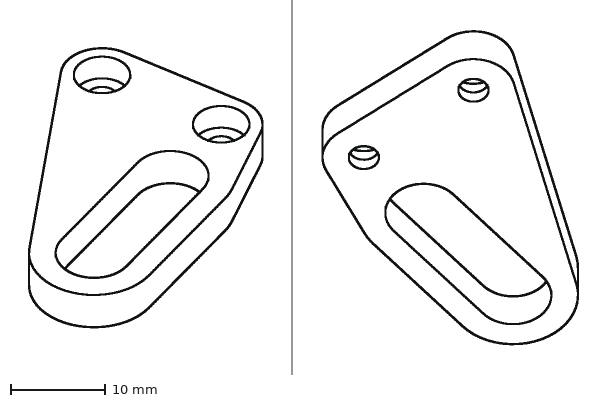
import cadquery as cq
import math

thickness = 4.5
hole_spacing = 15.0
small_radius = 4.4
large_radius = 6.9
slot_width = 8.13
slot_travel = 15.0
hole_to_slot = 10.0
hole_diameter = 3.2
counterbore_diameter = 6.0
counterbore_depth = 3.0

left_hole = (0, 0)
right_hole = (hole_spacing, 0)
slot_top = (hole_spacing, -hole_to_slot)
slot_bottom = (hole_spacing, -hole_to_slot - slot_travel)

corners = [
    (left_hole, small_radius),
    (slot_bottom, large_radius),
    (slot_top, large_radius),
    (right_hole, small_radius),
]


def tangent_angle(start, end):
    """Direction of the outward normal of the outer tangent from one circle to the next."""
    (start_x, start_y), start_radius = start
    (end_x, end_y), end_radius = end
    dx = end_x - start_x
    dy = end_y - start_y
    return math.atan2(dy, dx) - math.acos((start_radius - end_radius) / math.hypot(dx, dy))


def point_on(circle, angle):
    (x, y), radius = circle
    return (x + radius * math.cos(angle), y + radius * math.sin(angle))


def plate():
    """Plate bounded by the corner circles and the tangents joining them."""
    count = len(corners)
    leave_angles = [tangent_angle(corners[i], corners[(i + 1) % count]) for i in range(count)]
    outline = cq.Workplane("XY").moveTo(*point_on(corners[-1], leave_angles[-1]))
    for i, corner in enumerate(corners):
        arrive = leave_angles[i - 1]
        sweep = (leave_angles[i] - arrive) % (2 * math.pi)
        outline = outline.lineTo(*point_on(corner, arrive)).threePointArc(
            point_on(corner, arrive + sweep / 2), point_on(corner, arrive + sweep)
        )
    return outline.close().extrude(thickness)


def slot_cutter():
    slot_middle_y = (slot_top[1] + slot_bottom[1]) / 2
    return (
        cq.Workplane("XY")
        .center(slot_top[0], slot_middle_y)
        .slot2D(slot_travel + slot_width, slot_width, 90)
        .extrude(thickness)
    )


result = (
    plate()
    .cut(slot_cutter())
    .faces(">Z")
    .workplane(origin=(0, 0, thickness))
    .pushPoints([left_hole, right_hole])
    .cboreHole(hole_diameter, counterbore_diameter, counterbore_depth)
)